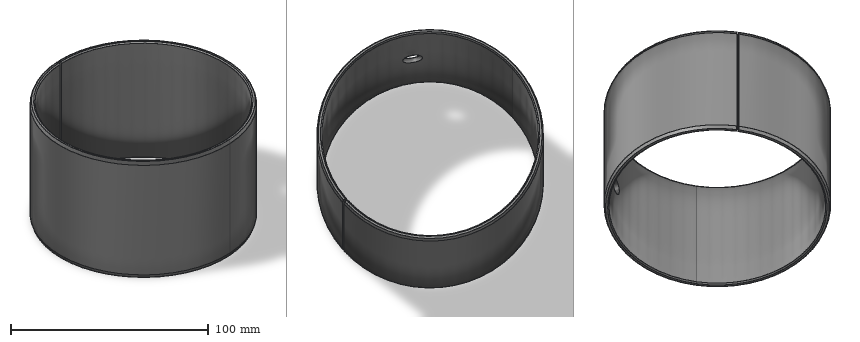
import cadquery as cq
import math

outer_diameter = 115.0
wall_thickness = 2.5
height = 70.0

outer_chamfer_height = 2.0
outer_chamfer_width = 0.7

inner_chamfer = 0.7

split_width = 1.0

hole_diameter = 10.0
hole_from_split_angle = 120.0
hole_height = height / 2

outer_radius = outer_diameter / 2
inner_radius = outer_radius - wall_thickness


def make_sleeve():
    """Revolve the chamfered wall section around the Z axis, base at Z = 0."""
    section = [
        (inner_radius + inner_chamfer, 0),
        (outer_radius - outer_chamfer_width, 0),
        (outer_radius, outer_chamfer_height),
        (outer_radius, height - outer_chamfer_height),
        (outer_radius - outer_chamfer_width, height),
        (inner_radius + inner_chamfer, height),
        (inner_radius, height - inner_chamfer),
        (inner_radius, inner_chamfer),
    ]
    return cq.Workplane("XZ").polyline(section).close().revolve(360, (0, 0), (0, 1))


def make_split():
    """Slab that cuts the wall open on the -X side over the full height."""
    slab = cq.Workplane("XY").box(outer_radius, split_width, height, centered=False)
    return slab.translate((-outer_radius, 0, 0))


def make_oil_hole():
    """Radial cylinder that passes through one side of the wall."""
    split_face_angle = math.pi - math.asin(split_width / outer_radius)
    angle = split_face_angle - math.radians(hole_from_split_angle)
    outward = cq.Vector(math.cos(angle), math.sin(angle), 0)
    start = cq.Vector(0, 0, hole_height)
    return cq.Solid.makeCylinder(hole_diameter / 2, outer_radius + wall_thickness, start, outward)


result = make_sleeve().cut(make_split()).cut(make_oil_hole())